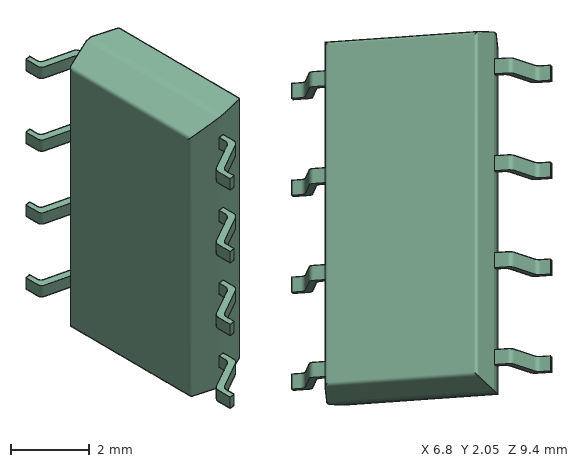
import cadquery as cq
import math

body_width = 4.4
body_length = 9.4
body_depth = 1.99
parting_band = 0.2
taper_inset = 0.2
face_edge_radius = 0.1

lead_span = 6.8
lead_thickness = 0.15
lead_width = 0.395
lead_pitch = 2.54
leads_per_side = 4
standoff = 0.06
foot_length = 0.5
shoulder_length = 0.3
bend_radius = 0.15
lead_embed = 0.28


def make_body_half(side):
    """Tapered half of the body, on the +Y (side = 1) or -Y (side = -1) side of the band."""
    taper_height = (body_depth - parting_band) / 2
    taper_angle = math.degrees(math.atan2(taper_inset, taper_height))
    face = ">Y" if side > 0 else "<Y"
    return (
        cq.Workplane("XZ", origin=(0, side * parting_band / 2, 0))
        .rect(body_width, body_length)
        .extrude(-side * taper_height, taper=taper_angle)
        .faces(face)
        .edges()
        .fillet(face_edge_radius)
    )


def make_body():
    band = cq.Workplane("XY").box(body_width, parting_band, body_length)
    return band.union(make_body_half(1)).union(make_body_half(-1))


def make_lead():
    """One lead on the +X side, centered on Z = 0."""
    root_x = body_width / 2 - lead_embed
    tip_x = lead_span / 2
    under_y = -lead_thickness / 2
    sole_y = -body_depth / 2 - standoff
    shoulder_x = body_width / 2 + shoulder_length
    heel_x = tip_x - foot_length

    outline = [
        (root_x, under_y),
        (shoulder_x, under_y),
        (heel_x, sole_y),
        (tip_x, sole_y),
        (tip_x, sole_y + lead_thickness),
        (heel_x + lead_thickness, sole_y + lead_thickness),
        (shoulder_x + lead_thickness, under_y + lead_thickness),
        (root_x, under_y + lead_thickness),
    ]
    lead = cq.Workplane("XY").polyline(outline).close().extrude(lead_width / 2, both=True)
    bends = lead.edges("|Z").edges(
        cq.selectors.BoxSelector(
            (body_width / 2, sole_y - lead_thickness, -lead_width),
            (tip_x - lead_thickness, lead_thickness, lead_width),
        )
    )
    return bends.fillet(bend_radius)


result = make_body()
right_lead = make_lead()
left_lead = right_lead.mirror("YZ")
for index in range(leads_per_side):
    lead_z = (index - (leads_per_side - 1) / 2) * lead_pitch
    for lead in (right_lead, left_lead):
        result = result.union(lead.translate((0, 0, lead_z)))